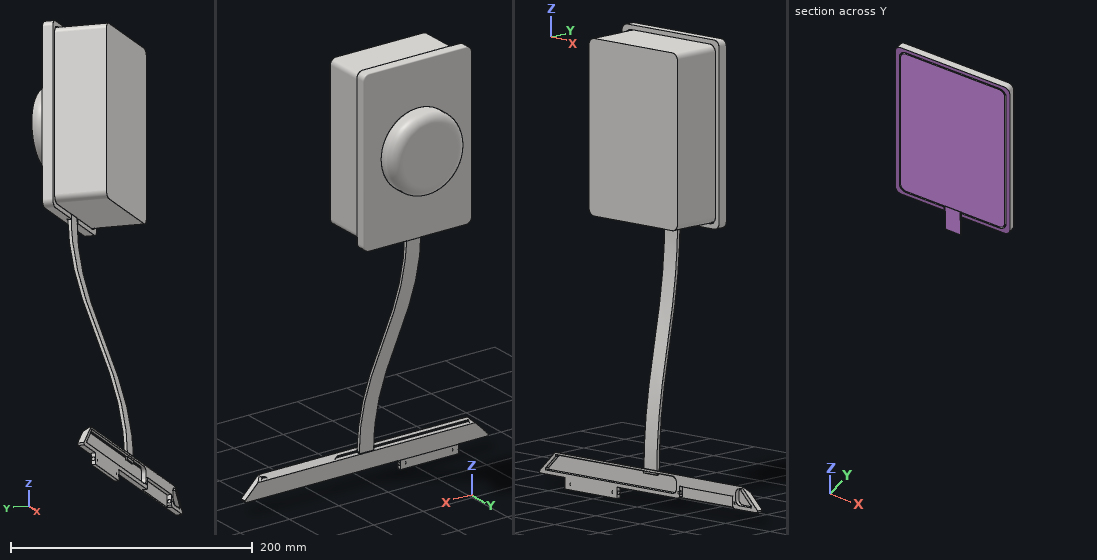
import cadquery as cq
TOTAL_HEIGHT = 389.8
TOTAL_DEPTH = 73.0

HOUSING_X = -17.0
FRAME_WIDTH, FRAME_HEIGHT = 110.0, 159.8
FRAME_FRONT_Y, FRAME_BACK_Y = 45.2, 55.0
FRAME_BACK_FILLET = 1.0
BOX_WIDTH, BOX_HEIGHT = 100.0, 150.0
CORNER_RADIUS = 6.0
BOX_CLEARANCE = 0.8
SEAT_DEPTH = 4.5
BUTTON_RADIUS = 37.5
BUTTON_FILLET = 9.7
HOUSING_Z = TOTAL_HEIGHT - FRAME_HEIGHT / 2
BOX_BACK_Y = FRAME_FRONT_Y + SEAT_DEPTH
BOX_BOTTOM_Z = HOUSING_Z - BOX_HEIGHT / 2

BAR_LENGTH = 247.0
BAR_THICKNESS = 6.0
BAR_BOTTOM_Z, BAR_TOP_Z = 9.7, 29.5
TIP_CUT_X, TIP_CUT_Z = 0.8, 2.0
BEVEL = 4.5
RECESS_DEPTH = 4.0
BAR_HALF = BAR_LENGTH / 2
BAR_TOP_HALF = BAR_HALF - (BAR_TOP_Z - BAR_BOTTOM_Z - TIP_CUT_Z)

POCKET_BOTTOM_Z, POCKET_TOP_Z = 13.3, 27.5
POCKET_END_INSET = 4.3
POCKET_STUB = 1.5
POCKET_RADIUS = 5.0
LONG_POCKET_END_X = 32.0
SHORT_POCKET_START_X = 98.5

TAB_X, NOTCH_X = -65.0, 65.0
TAB_WIDTH, NOTCH_WIDTH = 59.2, 60.0
NOTCH_HEIGHT = 10.5
NOTCH_LEAD_IN = 1.5

PIN_RADIUS = 1.5
PIN_Y = RECESS_DEPTH / 2
TAB_PIN_LENGTH, NOTCH_PIN_LENGTH = 6.0, 2.0
TAB_PIN_Z = BAR_BOTTOM_Z / 2
NOTCH_PIN_Z = BAR_BOTTOM_Z + TAB_PIN_Z

STRAP_WIDTH, STRAP_THICKNESS = 15.0, 3.0
STRAP_TOP_Y, STRAP_BOTTOM_Y = 47.5, 4.0
STRAP_BOTTOM_Z = 25.5
SLOT_WIDTH = 16.5


def block(x, y, z):
    """Box spanning the three (low, high) ranges."""
    size = (x[1] - x[0], y[1] - y[0], z[1] - z[0])
    return cq.Workplane("XY").box(*size, centered=False).translate((x[0], y[0], z[0]))


def front_plane(y):
    """Drawing plane facing -Y at depth y; a negative extrusion runs toward +Y."""
    return cq.Workplane("XZ", origin=(0, y, 0))


def rounded_plate(width, height, radius, y_front, y_back):
    """Upright plate with rounded corners, centred on the housing."""
    plate = front_plane(y_front).center(HOUSING_X, HOUSING_Z).rect(width, height)
    return plate.extrude(y_front - y_back).edges("|Y").fillet(radius)


def make_box():
    return rounded_plate(BOX_WIDTH, BOX_HEIGHT, CORNER_RADIUS, 0, BOX_BACK_Y)


def make_frame():
    frame = rounded_plate(FRAME_WIDTH, FRAME_HEIGHT, CORNER_RADIUS, FRAME_FRONT_Y, FRAME_BACK_Y)
    frame = frame.faces(">Y").edges().fillet(FRAME_BACK_FILLET)
    seat = rounded_plate(
        BOX_WIDTH + 2 * BOX_CLEARANCE,
        BOX_HEIGHT + 2 * BOX_CLEARANCE,
        CORNER_RADIUS + BOX_CLEARANCE,
        FRAME_FRONT_Y,
        BOX_BACK_Y,
    )
    strap_slot = block(
        (HOUSING_X - SLOT_WIDTH / 2, HOUSING_X + SLOT_WIDTH / 2),
        (FRAME_FRONT_Y, STRAP_TOP_Y + STRAP_THICKNESS / 2),
        (HOUSING_Z - FRAME_HEIGHT / 2, BOX_BOTTOM_Z),
    )
    return frame.cut(seat).cut(strap_slot)


def make_button():
    disc = front_plane(FRAME_BACK_Y).center(HOUSING_X, HOUSING_Z).circle(BUTTON_RADIUS)
    return disc.extrude(FRAME_BACK_Y - TOTAL_DEPTH).faces(">Y").edges().fillet(BUTTON_FILLET)


def s_band(plane, top, bottom, width):
    """Closed S-shaped outline of constant horizontal width, upright at both ends."""
    half = width / 2
    down, up = (0, -1), (0, 1)
    return (
        cq.Workplane(plane)
        .moveTo(top - half, BOX_BOTTOM_Z)
        .spline([(bottom - half, STRAP_BOTTOM_Z)], tangents=[down, down], includeCurrent=True)
        .lineTo(bottom + half, STRAP_BOTTOM_Z)
        .spline([(top + half, BOX_BOTTOM_Z)], tangents=[up, up], includeCurrent=True)
        .close()
    )


def make_strap():
    front_shape = s_band("XZ", HOUSING_X, 0, STRAP_WIDTH).extrude(-TOTAL_DEPTH)
    side_shape = s_band("YZ", STRAP_TOP_Y, STRAP_BOTTOM_Y, STRAP_THICKNESS)
    side_band = side_shape.extrude(BAR_LENGTH).translate((-BAR_HALF, 0, 0))
    return front_shape.intersect(side_band)


def pocket(points, rounded_side):
    """Recess in the bar's front, rounded along the edges on one side."""
    prism = front_plane(0).polyline(points).close().extrude(-RECESS_DEPTH)
    return prism.faces(rounded_side).edges("|Y").fillet(POCKET_RADIUS)


def sloped_side(direction):
    """Sloped side of a pocket from bottom to top; direction +1 or -1 picks the end of the bar."""
    low_z = POCKET_BOTTOM_Z + POCKET_STUB
    high_z = POCKET_TOP_Z - POCKET_STUB
    slope_foot = BAR_TOP_HALF + BAR_TOP_Z - POCKET_END_INSET
    bottom_x = direction * (slope_foot - low_z)
    top_x = direction * (slope_foot - high_z)
    return [(bottom_x, POCKET_BOTTOM_Z), (bottom_x, low_z), (top_x, high_z), (top_x, POCKET_TOP_Z)]


def make_pockets():
    long_end = [(LONG_POCKET_END_X, POCKET_TOP_Z), (LONG_POCKET_END_X, POCKET_BOTTOM_Z)]
    short_end = [(SHORT_POCKET_START_X, POCKET_TOP_Z), (SHORT_POCKET_START_X, POCKET_BOTTOM_Z)]
    return [
        pocket(sloped_side(-1) + long_end, ">X"),
        pocket(sloped_side(1) + short_end, "<X"),
    ]


def make_notch():
    half = NOTCH_WIDTH / 2
    mouth = half + NOTCH_LEAD_IN
    lead_in_z = BAR_BOTTOM_Z + NOTCH_LEAD_IN
    top_z = BAR_BOTTOM_Z + NOTCH_HEIGHT
    outline = [
        (NOTCH_X - mouth, BAR_BOTTOM_Z),
        (NOTCH_X + mouth, BAR_BOTTOM_Z),
        (NOTCH_X + half, lead_in_z),
        (NOTCH_X + half, top_z),
        (NOTCH_X - half, top_z),
        (NOTCH_X - half, lead_in_z),
    ]
    return front_plane(0).polyline(outline).close().extrude(-RECESS_DEPTH)


def make_bar():
    outline = [
        (TIP_CUT_X - BAR_HALF, BAR_BOTTOM_Z),
        (BAR_HALF - TIP_CUT_X, BAR_BOTTOM_Z),
        (BAR_HALF, BAR_BOTTOM_Z + TIP_CUT_Z),
        (BAR_TOP_HALF, BAR_TOP_Z),
        (-BAR_TOP_HALF, BAR_TOP_Z),
        (-BAR_HALF, BAR_BOTTOM_Z + TIP_CUT_Z),
    ]
    bar = front_plane(0).polyline(outline).close().extrude(-BAR_THICKNESS)
    bar = bar.edges(">Z and >Y").chamfer(BEVEL)
    tab = block(
        (TAB_X - TAB_WIDTH / 2, TAB_X + TAB_WIDTH / 2),
        (0, RECESS_DEPTH),
        (0, BAR_BOTTOM_Z),
    )
    bar = bar.union(tab).cut(make_notch())
    for recess in make_pockets():
        bar = bar.cut(recess)
    return bar


def make_pin(face_x, z, length, direction):
    """Pin along X, flush with the face at face_x; direction +1 or -1 leads into the material."""
    start = cq.Workplane("YZ", origin=(face_x, PIN_Y, z))
    return start.circle(PIN_RADIUS).extrude(direction * length)


box = make_box()
frame = make_frame()
button = make_button()
strap = make_strap()

pins = []
for side in (-1, 1):
    pins.append(make_pin(TAB_X + side * TAB_WIDTH / 2, TAB_PIN_Z, TAB_PIN_LENGTH, -side))
    pins.append(make_pin(NOTCH_X + side * NOTCH_WIDTH / 2, NOTCH_PIN_Z, NOTCH_PIN_LENGTH, side))

bar = make_bar()
for insert in [strap, *pins]:
    bar = bar.cut(insert)

result = cq.Compound.makeCompound(
    [box.val(), frame.val(), button.val(), strap.val(), bar.val(), *[pin.val() for pin in pins]]
)